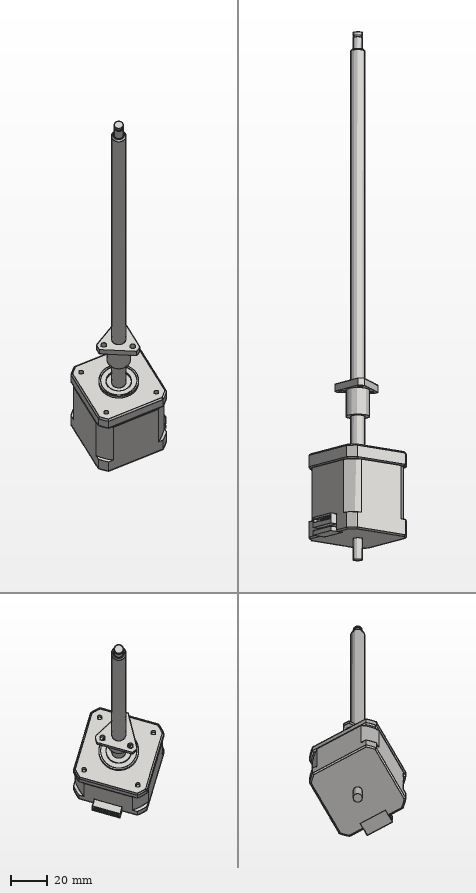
import cadquery as cq

motor_width = 42.2
motor_half = motor_width / 2
motor_height = 48.0
cap_thickness = 8.2
cap_bottom = motor_height - cap_thickness
corner_diameter = 54.0
waist_corner_diameter = 50.6
foot_height = 9.6
edge_chamfer = 0.9

boss_diameter = 22.0
boss_height = 1.6
boss_top = motor_height + boss_height
boss_dish_diameter = 20.0
boss_dish_depth = 0.3
boss_bore_diameter = 14.0
boss_bore_depth = boss_height

mount_spacing = 31.0
mount_hole_diameter = 2.5
mount_hole_depth = 4.5

pocket_count = 8
pocket_radial_length = 2.7
pocket_width = 4.5
pocket_center_radius = 14.3
pocket_roof = 1.05

screw_diameter = 8.0
screw_shoulder = 276.4
screw_chamfer = 0.9
screw_end = 285.95
journal_diameter = 5.0
rear_shaft_diameter = 5.0
rear_shaft_length = 12.0
ring_groove_diameter = 4.6
ring_groove_width = 1.0
ring_groove_setback = 1.8
ring_groove_top = screw_end - ring_groove_setback

nut_bottom = 69.0
nut_barrel_diameter = 13.0
nut_barrel_length = 15.0
nut_flange_thickness = 4.0
nut_flange_bottom = nut_bottom + nut_barrel_length
nut_flange_top = nut_flange_bottom + nut_flange_thickness
nut_flange_inradius = 8.0
nut_flange_corner_diameter = 26.0
nut_hole_count = 3
nut_hole_circle_diameter = 18.5
nut_hole_diameter = 3.0

connector_width = 16.0
connector_height = 10.0
connector_protrusion = 4.0
connector_embedment = 4.0
connector_front = motor_half + connector_protrusion
slot_bottom = 2.5
slot_height = 1.8
mouth_width = 14.0
mouth_bottom = 7.0
mouth_height = 1.9
mouth_depth = 2.0
pin_count = 6
pin_pitch = 1.5
pin_hole_width = 0.75


def cylinder(diameter, bottom, top):
    """Upright cylinder on the motor axis."""
    return cq.Workplane("XY").workplane(offset=bottom).circle(diameter / 2).extrude(top - bottom)


def turned_square(turned_diameter, bottom, top):
    """Square prism with its four corners turned to a diameter about the motor axis."""
    square = cq.Workplane("XY").workplane(offset=bottom).rect(motor_width, motor_width).extrude(top - bottom)
    return square.intersect(cylinder(turned_diameter, bottom, top))


def connector_box(width, back, front, bottom, height):
    """Box centred on X, given by its Y range, its bottom and its height."""
    box = cq.Workplane("XY").box(width, front - back, height, centered=(True, False, False))
    return box.translate((0, back, bottom))


def make_connector_block():
    """Outer block of the connector, also used to cut its seat in the motor."""
    return connector_box(connector_width, motor_half - connector_embedment, connector_front, 0, connector_height)


def make_motor_body():
    foot = turned_square(corner_diameter, 0, foot_height).faces("<Z").chamfer(edge_chamfer)
    waist = turned_square(waist_corner_diameter, foot_height, cap_bottom)
    shaft_bore = cylinder(rear_shaft_diameter, 0, cap_bottom)
    return foot.union(waist).cut(shaft_bore).cut(make_connector_block())


def make_cap_pockets():
    """Blind pockets on a circle, open at the cap's underside."""
    return (
        cq.Workplane("XY")
        .workplane(offset=cap_bottom)
        .polarArray(pocket_center_radius, 0, 360, pocket_count)
        .rect(pocket_radial_length, pocket_width)
        .extrude(cap_thickness - pocket_roof)
    )


def make_mount_holes():
    return (
        cq.Workplane("XY")
        .workplane(offset=motor_height - mount_hole_depth)
        .rect(mount_spacing, mount_spacing, forConstruction=True)
        .vertices()
        .circle(mount_hole_diameter / 2)
        .extrude(mount_hole_depth)
    )


def make_front_cap():
    plate = turned_square(corner_diameter, cap_bottom, motor_height)
    plate = plate.faces("<Z or >Z").chamfer(edge_chamfer)
    cap = plate.union(cylinder(boss_diameter, motor_height, boss_top))
    cap = cap.cut(cylinder(boss_dish_diameter, boss_top - boss_dish_depth, boss_top))
    cap = cap.cut(cylinder(boss_bore_diameter, boss_top - boss_bore_depth, boss_top))
    cap = cap.cut(cylinder(screw_diameter, cap_bottom, boss_top))
    return cap.cut(make_mount_holes()).cut(make_cap_pockets())


def make_screw():
    rod = cylinder(screw_diameter, cap_bottom, screw_shoulder).faces(">Z").chamfer(screw_chamfer)
    rear_shaft = cylinder(rear_shaft_diameter, -rear_shaft_length, cap_bottom)
    journal = cylinder(journal_diameter, screw_shoulder, screw_end)
    groove_bottom = ring_groove_top - ring_groove_width
    groove = cylinder(journal_diameter, groove_bottom, ring_groove_top)
    groove = groove.cut(cylinder(ring_groove_diameter, groove_bottom, ring_groove_top))
    return rod.union(rear_shaft).union(journal.cut(groove))


def make_nut_flange():
    """Triangle pointing to -Y, its corners rounded about the screw axis."""
    triangle_circumradius = 2 * nut_flange_inradius
    triangle = (
        cq.Workplane("XY")
        .workplane(offset=nut_flange_bottom)
        .transformed(rotate=(0, 0, -90))
        .polygon(3, 2 * triangle_circumradius)
        .extrude(nut_flange_thickness)
    )
    holes = (
        cq.Workplane("XY")
        .workplane(offset=nut_flange_bottom)
        .polarArray(nut_hole_circle_diameter / 2, -90, 360, nut_hole_count)
        .circle(nut_hole_diameter / 2)
        .extrude(nut_flange_thickness)
    )
    rounding = cylinder(nut_flange_corner_diameter, nut_flange_bottom, nut_flange_top)
    return triangle.intersect(rounding).cut(holes)


def make_nut():
    barrel = cylinder(nut_barrel_diameter, nut_bottom, nut_flange_bottom)
    screw_hole = cylinder(screw_diameter, nut_bottom, nut_flange_top)
    return make_nut_flange().union(barrel).cut(screw_hole)


def make_connector():
    side_slot = connector_box(connector_width, motor_half, connector_front, slot_bottom, slot_height)
    mouth_back = connector_front - mouth_depth
    mouth = connector_box(mouth_width, mouth_back, connector_front, mouth_bottom, mouth_height)
    connector = make_connector_block().cut(side_slot).cut(mouth)
    pin_hole = connector_box(pin_hole_width, motor_half, mouth_back, mouth_bottom, mouth_height)
    first_pin_x = -pin_pitch * (pin_count - 1) / 2
    for index in range(pin_count):
        pin_x = first_pin_x + index * pin_pitch
        connector = connector.cut(pin_hole.translate((pin_x, 0, 0)))
    return connector


motor_body = make_motor_body()
front_cap = make_front_cap()
screw = make_screw()
nut = make_nut()
connector = make_connector()

result = cq.Compound.makeCompound(
    [motor_body.val(), front_cap.val(), screw.val(), nut.val(), connector.val()]
)